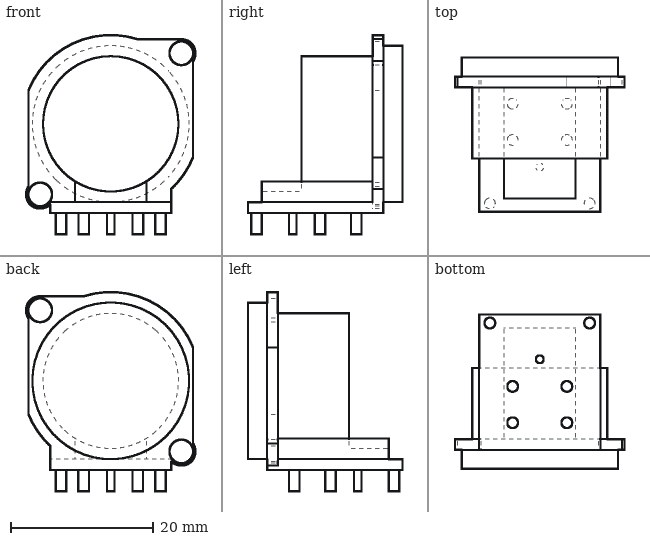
import cadquery as cq


flange_radius = 12.5
flange_thickness = 1.5
flange_half_width = 11.55
lug_offset = 9.9
lug_radius = 2.0
lug_hole_diameter = 3.3

barrel_diameter = 19.0
barrel_length = 10.0
disc_diameter = 22.0
disc_length = 2.7

board_width = 17.0
board_depth = 19.0
board_thickness = 1.5
board_top = -disc_diameter / 2
board_bottom = board_top - board_thickness
board_front = -board_depth
cradle_width = 10.0
cradle_overhang = 5.6
overall_height = 28.0
pin_length = overall_height - flange_radius + board_bottom
thick_pin_diameter = 1.5
thin_pin_diameter = 1.1
outer_pin_x = 7.0
inner_pin_x = 3.8
front_pin_inset = 1.2
middle_pin_inset = 10.1
thin_pin_inset = 6.3
rear_pin_inset = 15.2


def box(x_range, y_range, z_range):
    """Box spanning the given (low, high) limits."""
    sizes = [high - low for low, high in (x_range, y_range, z_range)]
    corner = (x_range[0], y_range[0], z_range[0])
    return cq.Workplane("XY").box(*sizes, centered=False).translate(corner)


def cylinder_y(diameter, front, length, x=0, z=0):
    """Cylinder along Y that starts at its front face."""
    plane = cq.Workplane("XZ", origin=(x, front, z))
    return plane.circle(diameter / 2).extrude(-length)


def make_flange():
    """Round plate with flat sides and two diagonally opposed screw lugs."""
    front = -flange_thickness
    y_range = (front, 0)
    lug_top = lug_offset + lug_radius
    sides = box(
        (-flange_half_width, flange_half_width), y_range, (board_top, flange_radius)
    )
    flange = cylinder_y(2 * flange_radius, front, flange_thickness).intersect(sides)

    flange = flange.union(box((0, lug_offset), y_range, (0, lug_top)))
    flange = flange.union(box((0, flange_half_width), y_range, (0, lug_offset)))
    flange = flange.union(box((-flange_half_width, 0), y_range, (-lug_offset, 0)))
    flange = flange.union(box((-lug_offset, board_width / 2), y_range, (board_top, 0)))

    for position in (-lug_offset, lug_offset):
        lug = cylinder_y(2 * lug_radius, front, flange_thickness, position, position)
        flange = flange.union(lug)
    for position in (-lug_offset, lug_offset):
        hole = cylinder_y(lug_hole_diameter, front, flange_thickness, position, position)
        flange = flange.cut(hole)
    return flange


def make_cradle():
    """Block under the barrel, hollowed to the barrel's radius."""
    front = -flange_thickness - barrel_length - cradle_overhang
    half_width = cradle_width / 2
    block = box((-half_width, half_width), (front, -flange_thickness), (board_top, 0))
    return block.cut(cylinder_y(barrel_diameter, front, -front))


def make_pins(diameter, points):
    """Round pins hanging below the board at (x, inset from the board front)."""
    centres = [(x, board_front + inset) for x, inset in points]
    plane = cq.Workplane("XY", origin=(0, 0, board_bottom))
    return plane.pushPoints(centres).circle(diameter / 2).extrude(-pin_length)


board = box(
    (-board_width / 2, board_width / 2), (board_front, 0), (board_bottom, board_top)
)
barrel = cylinder_y(
    barrel_diameter, -flange_thickness - barrel_length, barrel_length
)
disc = cylinder_y(disc_diameter, 0, disc_length)

thick_pin_points = []
for side in (-1, 1):
    thick_pin_points.append((side * outer_pin_x, front_pin_inset))
    thick_pin_points.append((side * inner_pin_x, middle_pin_inset))
    thick_pin_points.append((side * inner_pin_x, rear_pin_inset))

result = make_flange().union(disc).union(barrel).union(board).union(make_cradle())
result = result.union(make_pins(thick_pin_diameter, thick_pin_points))
result = result.union(make_pins(thin_pin_diameter, [(0, thin_pin_inset)]))